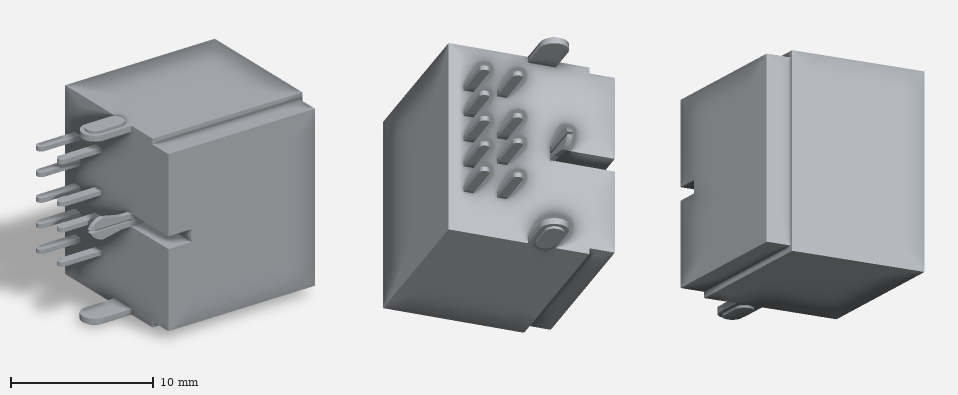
import cadquery as cq

overall_x = 12.5
overall_y = 16.4
overall_z = 15.14

pin_length = 3.5
housing_depth = overall_y - pin_length
main_length = 10.6
rim_step_z = 0.46
rim_step_y = 0.26

tab_x = 7.0
tab_width = 2.1
tab_thickness = rim_step_z
pad_width = 1.41
pad_length = 3.15
pad_height = 0.2
main_height = overall_z - 2 * pad_height
rim_height = main_height - 2 * rim_step_z

pin_width = 0.74
pin_thickness = 0.35
pin_pitch = 2.0
rear_row_x = 1.5
front_row_x = 4.0
inner_pin_z = 0.69
rear_row_z = [step * pin_pitch for step in (-2, -1, 0, 1, 2)]
front_row_z = [-2 * pin_pitch, inner_pin_z - pin_pitch, inner_pin_z, 2 * pin_pitch]

keyway_start_x = 8.0
keyway_width = 1.0
core_radius = 4.5

blade_thickness = 0.4
blade_gap = 0.2
blade_root_half = keyway_width / 2
blade_flare_start = 0.8
blade_peak_y = 2.46
blade_peak_half = 0.84
blade_shoulder_y = 3.0
blade_shoulder_half = 0.62
blade_bevel_y = 3.31
blade_bevel_half = 0.36


def box(x_start, x_end, y_start, y_end, height):
    """Box centred on the mid-plane."""
    return (
        cq.Workplane("XY", origin=(0, 0, -height / 2))
        .moveTo(x_start, y_start)
        .lineTo(x_end, y_start)
        .lineTo(x_end, y_end)
        .lineTo(x_start, y_end)
        .close()
        .extrude(height)
    )


def round_ended_bar(x, z_bottom, width, thickness):
    """Bar standing out of the board side with a half-round tip."""
    radius = width / 2
    return (
        cq.Workplane("XY", origin=(x, 0, z_bottom))
        .moveTo(-radius, 0)
        .lineTo(-radius, radius - pin_length)
        .threePointArc((0, -pin_length), (radius, radius - pin_length))
        .lineTo(radius, 0)
        .close()
        .extrude(thickness)
    )


def make_housing():
    main = box(0, main_length, 0, housing_depth, main_height)
    rim = box(main_length, overall_x, 0, housing_depth - rim_step_y, rim_height)
    keyway = box(keyway_start_x, overall_x, 0, housing_depth / 2, keyway_width)
    core = cq.Workplane("YZ", origin=(0, housing_depth / 2, 0)).circle(core_radius).extrude(overall_x)
    return main.union(rim).cut(keyway.cut(core))


def make_upper_tab():
    top = main_height / 2
    tab = round_ended_bar(tab_x, top - tab_thickness, tab_width, tab_thickness)
    pad = (
        cq.Workplane("XY", origin=(tab_x, -pad_length / 2, top))
        .slot2D(pad_length, pad_width, 90)
        .extrude(pad_height)
    )
    return tab.union(pad)


def make_upper_blade_leg():
    return (
        cq.Workplane("YZ", origin=(keyway_start_x - blade_thickness, 0, 0))
        .moveTo(0, blade_gap / 2)
        .lineTo(0, blade_root_half)
        .lineTo(-blade_flare_start, blade_root_half)
        .lineTo(-blade_peak_y, blade_peak_half)
        .threePointArc((-blade_shoulder_y, blade_shoulder_half), (-blade_bevel_y, blade_bevel_half))
        .lineTo(-pin_length, blade_gap / 2)
        .close()
        .extrude(blade_thickness)
    )


result = make_housing()

for upper_half in (make_upper_tab(), make_upper_blade_leg()):
    result = result.union(upper_half).union(upper_half.mirror("XY"))

for row_x, row_z in ((rear_row_x, rear_row_z), (front_row_x, front_row_z)):
    for pin_z in row_z:
        pin = round_ended_bar(row_x, pin_z - pin_thickness / 2, pin_width, pin_thickness)
        result = result.union(pin)